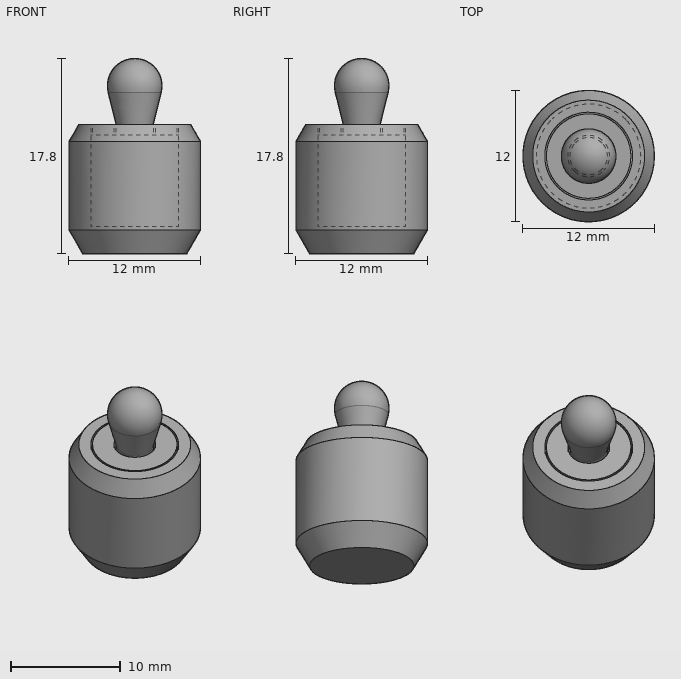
import cadquery as cq
import math

housing_radius = 6.0
housing_height = 11.8
chamfer_angle = math.radians(60)
top_chamfer_width = 0.9
bottom_chamfer_width = 1.25
top_chamfer_height = top_chamfer_width * math.tan(chamfer_angle)
bottom_chamfer_height = bottom_chamfer_width * math.tan(chamfer_angle)
bore_radius = 4.0
floor_thickness = 2.5

insert_groove_width = 0.15
insert_groove_depth = 1.0
insert_rim_radius = bore_radius - insert_groove_width
insert_height = housing_height - floor_thickness

ball_radius = 2.5
pin_projection = 6.0
taper_angle = math.radians(14)
socket_radius = 1.9
socket_depth = 1.0
ball_center_z = housing_height + pin_projection - ball_radius
pin_top_z = ball_center_z + ball_radius
tangent_radius = ball_radius * math.cos(taper_angle)
tangent_z = ball_center_z - ball_radius * math.sin(taper_angle)
socket_floor_z = housing_height - socket_depth
neck_base_z = housing_height
shank_radius = tangent_radius - (tangent_z - neck_base_z) * math.tan(taper_angle)


def make_housing():
    """Sleeve with a closed, plain bottom and a blind bore from the top."""
    body = (
        cq.Workplane("XZ")
        .moveTo(0, 0)
        .lineTo(housing_radius - bottom_chamfer_width, 0)
        .lineTo(housing_radius, bottom_chamfer_height)
        .lineTo(housing_radius, housing_height - top_chamfer_height)
        .lineTo(housing_radius - top_chamfer_width, housing_height)
        .lineTo(0, housing_height)
        .close()
        .revolve(360, (0, 0), (0, 1))
    )
    bore = cq.Workplane("XY").workplane(offset=floor_thickness).circle(bore_radius).extrude(insert_height)
    return body.cut(bore)


def make_insert():
    """Plug filling the bore, with a reduced upper rim and a blind socket round the pin's shank."""
    base = (
        cq.Workplane("XY")
        .workplane(offset=floor_thickness)
        .circle(bore_radius)
        .extrude(insert_height - insert_groove_depth)
    )
    rim = base.faces(">Z").workplane().circle(insert_rim_radius).extrude(insert_groove_depth)
    socket = cq.Workplane("XY").workplane(offset=socket_floor_z).circle(socket_radius).extrude(socket_depth)
    return rim.cut(socket)


def make_pin():
    """Ball-ended pin with a tapered neck and a straight shank, standing on the socket floor."""
    arc_middle_angle = (math.pi / 2 - taper_angle) / 2
    arc_middle = (
        ball_radius * math.cos(arc_middle_angle),
        ball_center_z + ball_radius * math.sin(arc_middle_angle),
    )
    return (
        cq.Workplane("XZ")
        .moveTo(0, socket_floor_z)
        .lineTo(shank_radius, socket_floor_z)
        .lineTo(shank_radius, neck_base_z)
        .lineTo(tangent_radius, tangent_z)
        .threePointArc(arc_middle, (0, pin_top_z))
        .close()
        .revolve(360, (0, 0), (0, 1))
    )


housing = make_housing()
insert = make_insert()
pin = make_pin()

result = cq.Compound.makeCompound([housing.val(), insert.val(), pin.val()])